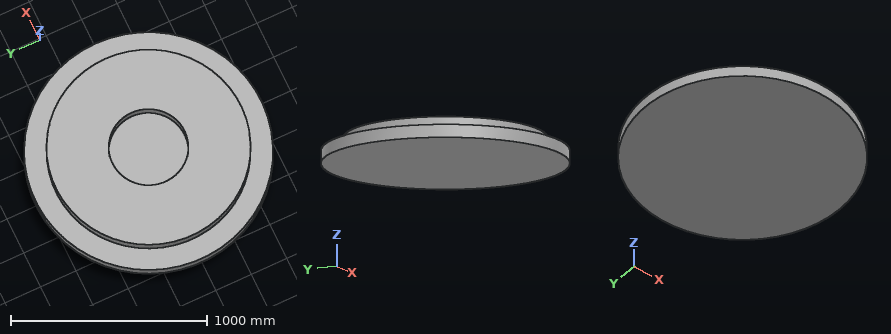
import cadquery as cq

flange_diameter = 1270.0
raised_diameter = 1041.0
pocket_diameter = 406.0
total_height = 133.0
flange_height = 67.0
raised_height = total_height - flange_height

flange = cq.Workplane("XY").circle(flange_diameter / 2).extrude(flange_height)

raised_ring = (
    cq.Workplane("XY")
    .workplane(offset=flange_height)
    .circle(raised_diameter / 2)
    .circle(pocket_diameter / 2)
    .extrude(raised_height)
)

result = flange.union(raised_ring)